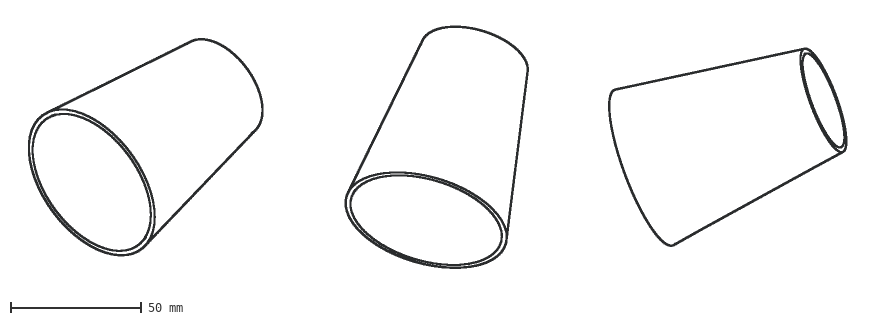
import cadquery as cq

length = 76.0
wide_diameter = 64.0
narrow_diameter = 42.4
wall = 2.0

wide_radius = wide_diameter / 2
narrow_radius = narrow_diameter / 2

wall_section = [
    (wide_radius - wall, 0),
    (wide_radius, 0),
    (narrow_radius, length),
    (narrow_radius - wall, length),
]

result = (
    cq.Workplane("XY")
    .polyline(wall_section)
    .close()
    .revolve(360, (0, 0), (0, 1))
)